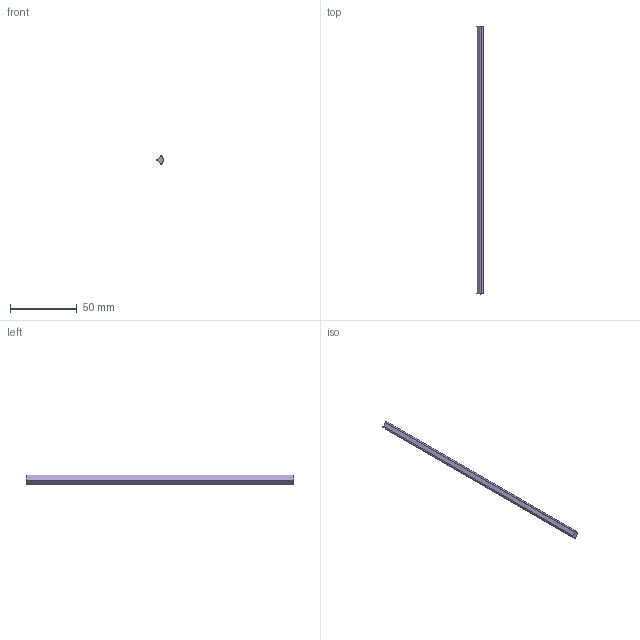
import cadquery as cq
import math

WIDTH = 5.0
LENGTH = 200.0
HEIGHT = 7.0

BEAD_RADIUS = 0.5
TIP_BEAD_X = 0.6
FLANK_ANGLE = math.radians(44.2)
FLANK_OFFSET = 0.4
BACK_RADIUS = 3.5

back_x = WIDTH / 2
apex_bead_x = -WIDTH / 2 + BEAD_RADIUS
tip_bead_z = HEIGHT / 2 - BEAD_RADIUS

flank_start_x = apex_bead_x - FLANK_OFFSET * math.sin(FLANK_ANGLE)
flank_start_z = FLANK_OFFSET * math.cos(FLANK_ANGLE)
flank_end_x = flank_start_x + (tip_bead_z - flank_start_z) / math.tan(FLANK_ANGLE)

back_end_x = back_x - BACK_RADIUS + math.sqrt(BACK_RADIUS**2 - tip_bead_z**2)


def wedge_body():
    return (
        cq.Workplane("XZ")
        .moveTo(flank_start_x, -flank_start_z)
        .lineTo(flank_start_x, flank_start_z)
        .lineTo(flank_end_x, tip_bead_z)
        .lineTo(back_end_x, tip_bead_z)
        .threePointArc((back_x, 0), (back_end_x, -tip_bead_z))
        .lineTo(flank_end_x, -tip_bead_z)
        .close()
        .extrude(LENGTH / 2, both=True)
    )


def corner_bead(x, z):
    return cq.Workplane("XZ").center(x, z).circle(BEAD_RADIUS).extrude(LENGTH / 2, both=True)


bead_centres = [
    (apex_bead_x, 0),
    (TIP_BEAD_X, tip_bead_z),
    (TIP_BEAD_X, -tip_bead_z),
]

result = wedge_body()
for bead_x, bead_z in bead_centres:
    result = result.union(corner_bead(bead_x, bead_z))
result = result.clean()